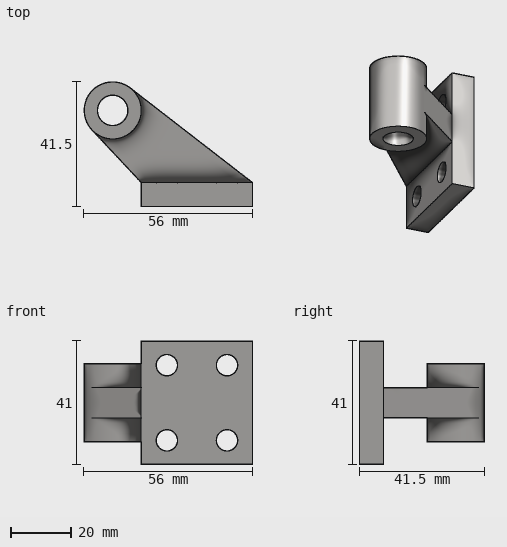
import cadquery as cq
import math

plate_width = 37.0
plate_height = 41.0
plate_thickness = 8.0
mount_hole_diameter = 7.0
mount_hole_spacing_x = 20.0
mount_hole_spacing_z = 25.0

barrel_diameter = 19.0
barrel_height = 26.0
bore_diameter = 10.0
overall_depth = 41.5

web_thickness = 10.0

barrel_radius = barrel_diameter / 2
barrel_x = barrel_radius
barrel_y = overall_depth - barrel_radius
plate_left = barrel_diameter
plate_right = plate_left + plate_width


def barrel_tangent_point(x, y, side):
    """Point where a line from (x, y) touches the barrel; side is +1 or -1."""
    dx = x - barrel_x
    dy = y - barrel_y
    half_angle = math.acos(barrel_radius / math.hypot(dx, dy))
    angle = math.atan2(dy, dx) + side * half_angle
    return (
        barrel_x + barrel_radius * math.cos(angle),
        barrel_y + barrel_radius * math.sin(angle),
    )


def make_plate():
    plate = cq.Workplane("XY").box(
        plate_width, plate_thickness, plate_height, centered=(False, False, True)
    )
    plate = (
        plate.faces("<Y")
        .workplane(centerOption="CenterOfBoundBox")
        .rarray(mount_hole_spacing_x, mount_hole_spacing_z, 2, 2)
        .hole(mount_hole_diameter)
    )
    return plate.translate((plate_left, 0, 0))


def make_barrel():
    return (
        cq.Workplane("XY")
        .center(barrel_x, barrel_y)
        .circle(barrel_radius)
        .extrude(barrel_height / 2, both=True)
    )


def make_web():
    left_corner = (plate_left, plate_thickness)
    right_corner = (plate_right, plate_thickness)
    outline = [
        left_corner,
        right_corner,
        barrel_tangent_point(*right_corner, 1),
        barrel_tangent_point(*left_corner, -1),
    ]
    return cq.Workplane("XY").polyline(outline).close().extrude(web_thickness / 2, both=True)


def make_bore():
    return (
        cq.Workplane("XY")
        .center(barrel_x, barrel_y)
        .circle(bore_diameter / 2)
        .extrude(barrel_height / 2, both=True)
    )


result = make_plate().union(make_web()).union(make_barrel()).cut(make_bore())